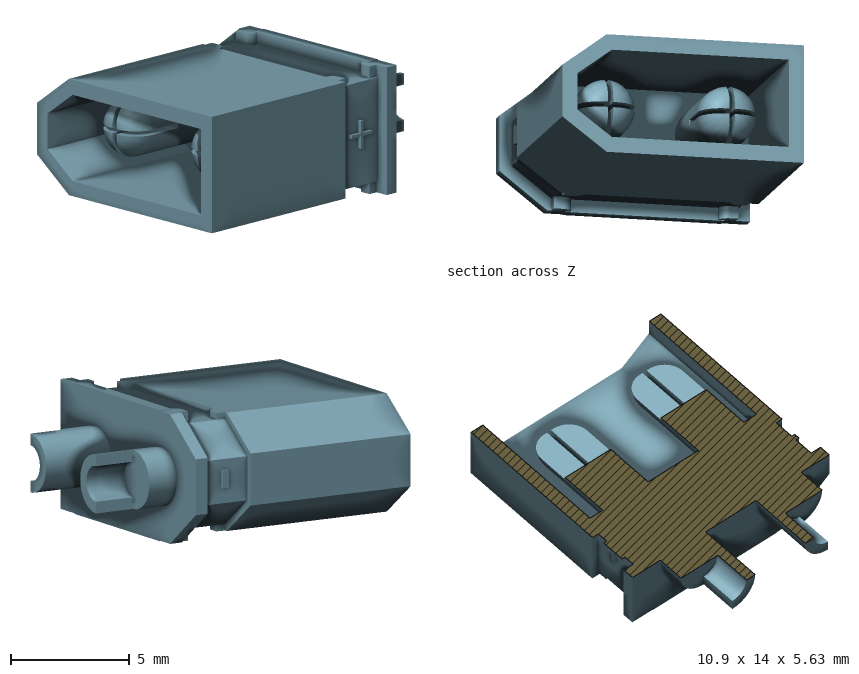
import cadquery as cq
import math


housing_back = 7.92
flange_front = 10.16
flange_back = 10.75
tail_step = 12.1
tail_end = 13.96
cavity_depth = 6.98

flange_width = 10.87
flange_height = 5.57
flange_nose_height = 2.4
flange_nose_length = 2.07
rib_height = 5.63
rib_left = 2.89
rib_right = 9.76

pad_length = 0.42
pad_left = 2.26
pad_right = 10.26
left_pad_reach = 0.84
right_pad_reach = 0.77

housing_inset = 0.2
housing_height = 5.08
housing_nose_height = 2.23
housing_nose_length = 1.93

cavity_left = 0.85
cavity_right = 10.02
cavity_height = 3.77
cavity_nose_height = 1.56
cavity_nose_length = 1.5

neck_inset = 0.52
neck_height = 4.52
neck_nose_height = 1.9
neck_nose_length = 1.73

mark_y = 9.05
mark_depth = 0.17
minus_length = 0.77
minus_width = 0.3
minus_rise = 0.11
plus_length = 1.21
plus_width = 0.14

pin_diameter = 2.53
pin_spacing = 5.28
pin_tip = 2.02
slot_width = 0.22
slot_depth = 2.51
pin_nose_radius = 1.0
cup_bore = 1.54


def keyed_prism(left, right, height, nose_height, nose_length, y_start, y_end):
    """Prism along Y whose rectangle is narrowed to a flat nose at its left end."""
    shoulder = left + nose_length
    outline = [
        (left, -nose_height / 2),
        (shoulder, -height / 2),
        (right, -height / 2),
        (right, height / 2),
        (shoulder, height / 2),
        (left, nose_height / 2),
    ]
    return cq.Workplane("XZ", origin=(0, y_start, 0)).polyline(outline).close().extrude(y_start - y_end)


def span(center, size):
    """Start and end of a stretch of the given size about its centre."""
    return center - size / 2, center + size / 2


def block(x_range, y_range, height):
    """Box between two X and two Y positions, centred on Z = 0."""
    width = x_range[1] - x_range[0]
    length = y_range[1] - y_range[0]
    return (
        cq.Workplane("XY")
        .box(width, length, height, centered=(False, False, True))
        .translate((x_range[0], y_range[0], 0))
    )


def rod(center_x, diameter, y_start, y_end):
    """Cylinder along Y between two stations, centred on Z = 0."""
    return cq.Workplane("XZ", origin=(center_x, y_start, 0)).circle(diameter / 2).extrude(y_start - y_end)


def pad_pair(outer_x, inner_x, base_y, direction, height):
    """Bar through the neck that stands out above and below as pads with a quarter-round inner corner.

    It grows from base_y towards +Y or -Y, as direction is 1 or -1.
    """
    tip_y = base_y + direction * pad_length
    side = math.copysign(1, inner_x - outer_x)
    round_start = inner_x - side * pad_length
    diagonal = pad_length * math.sqrt(0.5)
    arc_middle = (round_start + side * diagonal, base_y + direction * diagonal)
    return (
        cq.Workplane("XY", origin=(0, 0, -height / 2))
        .moveTo(outer_x, base_y)
        .lineTo(outer_x, tip_y)
        .lineTo(round_start, tip_y)
        .threePointArc(arc_middle, (inner_x, base_y))
        .close()
        .extrude(height)
    )


def shell():
    """Flange, neck, housing and pads, with the mating cavity cut in."""
    flange = keyed_prism(
        0, flange_width, flange_height,
        flange_nose_height, flange_nose_length, flange_front, flange_back,
    )
    rib = block((rib_left, rib_right), (flange_front, flange_back), rib_height)
    neck = keyed_prism(
        neck_inset, flange_width - neck_inset, neck_height,
        neck_nose_height, neck_nose_length, housing_back, flange_front,
    )
    housing = keyed_prism(
        housing_inset, flange_width - housing_inset, housing_height,
        housing_nose_height, housing_nose_length, 0, housing_back,
    )
    cavity = keyed_prism(
        cavity_left, cavity_right, cavity_height,
        cavity_nose_height, cavity_nose_length, 0, cavity_depth,
    )
    body = flange.union(rib).union(neck).union(housing)
    pad_spans = (
        (pad_left, pad_left + left_pad_reach),
        (pad_right, pad_right - right_pad_reach),
    )
    for outer_x, inner_x in pad_spans:
        body = body.union(pad_pair(outer_x, inner_x, flange_front, -1, flange_height))
        body = body.union(pad_pair(outer_x, inner_x, housing_back, 1, housing_height))
    return body.cut(cavity)


def polarity_marks():
    """Raised minus on the nose end and raised plus on the square end."""
    nose_x = (neck_inset - mark_depth, neck_inset)
    square_x = (flange_width - neck_inset, flange_width - neck_inset + mark_depth)
    minus = block(nose_x, span(mark_y, minus_width), minus_length).translate((0, 0, minus_rise))
    plus = block(square_x, span(mark_y, plus_length), plus_width).union(
        block(square_x, span(mark_y, plus_width), plus_length)
    )
    return minus, plus


def pin(center_x, cup_side):
    """Cross-slotted round-nosed pin; its solder tail is a half cup kept towards +X (1) or -X (-1)."""
    radius = pin_diameter / 2
    body = rod(center_x, pin_diameter, pin_tip, tail_end).faces("<Y").edges().fillet(pin_nose_radius)

    slot_y = (pin_tip, pin_tip + slot_depth)
    flat_slot = block(span(center_x, pin_diameter), slot_y, slot_width)
    upright_slot = block(span(center_x, slot_width), slot_y, pin_diameter)

    tail_y = (tail_step, tail_end)
    open_half = block(sorted((center_x, center_x - cup_side * radius)), tail_y, pin_diameter)
    cup = rod(center_x, cup_bore, tail_step, tail_end)
    return body.cut(flat_slot).cut(upright_slot).cut(open_half).cut(cup)


result = shell()
for mark in polarity_marks():
    result = result.union(mark)
left_pin_x, right_pin_x = span(flange_width / 2, pin_spacing)
result = result.union(pin(left_pin_x, 1))
result = result.union(pin(right_pin_x, -1))